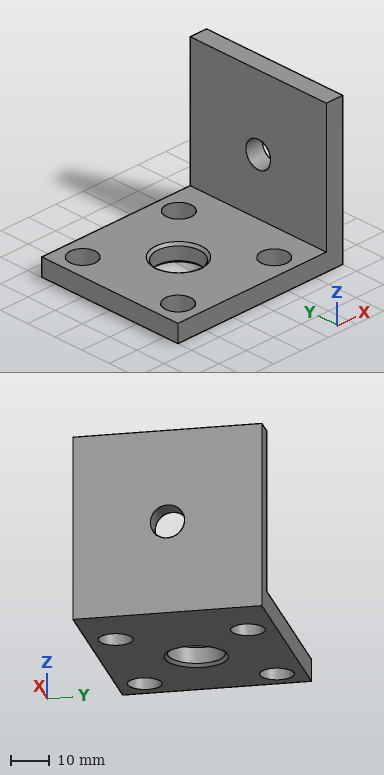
import cadquery as cq

length = 60.0
width = 50.0
height = 50.0
thickness = 6.0

bolt_diameter = 9.0
bolt_spacing = 35.0
bore_diameter = 15.0
bore_chamfer = 0.85

pattern_x = width / 2

bracket = (
    cq.Workplane("XZ")
    .polyline([
        (0, 0),
        (length, 0),
        (length, height),
        (length - thickness, height),
        (length - thickness, thickness),
        (0, thickness),
    ])
    .close()
    .extrude(width / 2, both=True)
)

bolt_holes = (
    cq.Workplane("XY")
    .center(pattern_x, 0)
    .rect(bolt_spacing, bolt_spacing, forConstruction=True)
    .vertices()
    .circle(bolt_diameter / 2)
    .extrude(thickness)
)

bore_radius = bore_diameter / 2
rim_radius = bore_radius + bore_chamfer
bore = (
    cq.Workplane("XZ", origin=(pattern_x, 0, 0))
    .polyline([
        (0, 0),
        (rim_radius, 0),
        (bore_radius, bore_chamfer),
        (bore_radius, thickness - bore_chamfer),
        (rim_radius, thickness),
        (0, thickness),
    ])
    .close()
    .revolve(360, (0, 0), (0, 1))
)

upright_hole = (
    cq.Workplane("YZ", origin=(length - thickness, 0, height / 2))
    .circle(bolt_diameter / 2)
    .extrude(thickness)
)

result = bracket.cut(bolt_holes).cut(bore).cut(upright_hole)